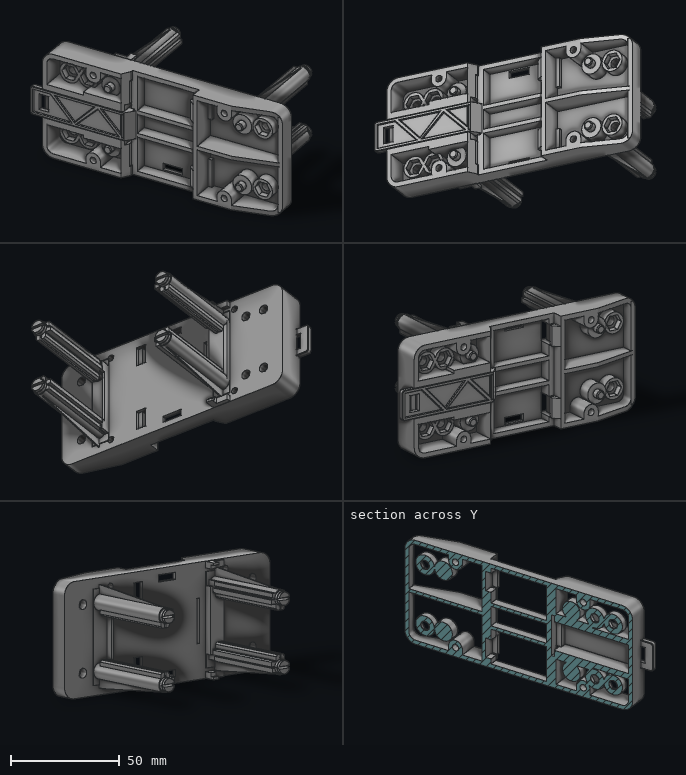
import cadquery as cq
import math

SIDES = (-1, 1)

BASE_LENGTH = 125.1
BASE_WIDTH = 55.0
BASE_DEPTH = 13.9
CORNER_RADIUS = 6.0
WALL = 2.4
PLATE = 2.0
FLOOR_Y = BASE_DEPTH - PLATE
POCKET_Z = BASE_WIDTH / 2 - WALL
POCKET_RADIUS = CORNER_RADIUS - WALL
RAMP_START_X = 101.0
RAMP_END_X = 123.5
RAMP_END_Y = 5.6
RAMP_SLOPE = RAMP_END_Y / (RAMP_END_X - RAMP_START_X)

NOTCH_DEPTH = 5.6
NOTCH_START_X = 42.0
NOTCH_WALL_X = 44.9
NOTCH_END_X = 80.5
HOOK_Y = 4.4
SEAT_X = 44.4
SEAT_Z = 22.5

LEVER_HALF_WIDTH = 7.4
CHANNEL_WALL_Z = 10.6
CHANNEL_THICK_Z = 12.1
CHANNEL_STEP_X = 21.9
LATCH_SLOT_X = 43.0

MIDDLE_START_X = 47.5
MIDDLE_END_X = 77.6
RIB_OUTER_Z = 7.0
RIB_INNER_Z = 5.0
WINDOW_X = (57.5, 67.8)
WINDOW_Z = (21.1, 24.4)

FIXED_HOOK_TIP_X = 77.5
FIXED_HOOK_NOSE_Y = 2.7
FIXED_HOOK_Z = (12.6, 22.5)

RIGHT_START_X = 82.8
CENTER_RIB_HALF = 1.0
LEDGE_WIDTH = 2.0
LEDGE_Y = 10.0
UNDERCUT_Y = 12.2

SCREW_X = (27.2, 97.2)
SCREW_Z = 22.5
SCREW_HOLE = 3.2
SCREW_BOSS_RADIUS = 3.9
POST_X = (33.7, 103.8)
POST_Z = 16.05
NUT_X = (10.8, 20.8, 113.9)
NUT_BOSS_RADIUS = 5.25
NUT_BOSS_Y = 6.5
NUT_SIDES = 6
NUT_FLATS = 7.1
NUT_DEPTH = 3.2
NUT_HOLE = 4.5
PIN_BOSS_RADIUS = 5.0
PIN_BOSS_Y = 5.3
PIN_RADIUS = 2.1
PIN_END_Y = 1.8
PIN_CHAMFER = 0.5

POST_RADIUS = 3.9
POST_TOP_Y = 60.2
POST_TIP_Y = 63.1
TIP_RING_Y = 61.7
TIP_RING_RADIUS = 3.4
TIP_RADIUS = 3.2
TIP_V_HALF = 0.6
TIP_V_DEPTH = 2.0
GUSSET_THICK = 0.6
GUSSET_FOOT_Y = 16.0
GUSSET_REACH_Z = 24.2
GUSSET_TOP_Y = 58.5
GUIDE_HALF_WIDTH = 2.6
GUIDE_REACH = 5.7
LONG_GUIDE_REACH = 5.6
LONG_GUIDE_SHORT_REACH = 4.8
GUIDE_CHAMFER = 0.9
GUIDE_SLOT_HALF = 0.4
GUIDE_SLOT_BOTTOM = 3.9
GUIDE_LOW_Y = 19.3

FOOT_WIDTH = 9.4
PAD_HEIGHT = 0.4
PAD_Z = 22.6
BAR_Y = 17.3
BAR_CHAMFER = 1.3
STRIP_WIDTH = 1.2
CLIP_Z = 24.3
CLIP_INSET = 0.15
CLIP_FOOT_Y = 16.0
CLIP_BODY_Y = 17.5
CLIP_LIP_Y = 19.4
CLIP_LIP_THICK = 1.2
CLIP_BODY_WIDTH = 3.3

LEVER_START_X = -6.4
LEVER_END_X = 43.6
LEVER_THICK = 2.6
LEVER_RADIUS = 1.3
LEVER_CHAMFER = 0.3
LEVER_HOOK_TIP_X = 47.4
LEVER_NECK_X = 45.9
FRAME = 1.3
RECESS_DEPTH = 0.5
RECESS_DRAFT = 35
RECESS_END_X = 41.9
FIRST_RECESS_X = (4.3, 16.0)
SECOND_RECESS_X = (6.3, 28.2, 17.2)
THIRD_RECESS_X = (17.8, 41.2, 29.6)
FOURTH_RECESS_X = 31.0
GROOVE_X = (42.4, 43.5)
LEVER_WINDOW_X = (-2.0, 3.1)
LEVER_WINDOW_HALF = 4.1


def box(x0, x1, y0, y1, z0, z1):
    """Box between two opposite corners."""
    size = (x1 - x0, y1 - y0, z1 - z0)
    return cq.Workplane("XY").box(*size, centered=False).translate((x0, y0, z0))


def mirrored_box(x0, x1, y0, y1, side, z_near, z_far):
    """Box on one half of the part, with Z measured away from the symmetry plane."""
    z0, z1 = sorted((side * z_near, side * z_far))
    return box(x0, x1, y0, y1, z0, z1)


def plane_at(y):
    """Workplane with local X and Y along the part's X and Z; negative extrusion runs to +Y."""
    return cq.Workplane("XZ", origin=(0, y, 0))


def cylinder(x, z, radius, y0, y1):
    """Cylinder along Y."""
    return plane_at(y0).center(x, z).circle(radius).extrude(y0 - y1)


def prism(points, y0, y1):
    """Prism along Y from an outline in X and Z."""
    return plane_at(y0).polyline(points).close().extrude(y0 - y1)


def side_prism(points, z0, z1):
    """Prism along Z from an outline in X and Y."""
    return cq.Workplane("XY", origin=(0, 0, z0)).polyline(points).close().extrude(z1 - z0)


def make_block():
    """Rounded base block with the ramped end and the rail notch."""
    outline = [
        (0, 0), (NOTCH_START_X, 0), (NOTCH_WALL_X, HOOK_Y), (NOTCH_WALL_X, NOTCH_DEPTH),
        (NOTCH_END_X, NOTCH_DEPTH), (NOTCH_END_X, 0), (RAMP_START_X, 0),
        (BASE_LENGTH, RAMP_END_Y + RAMP_SLOPE * (BASE_LENGTH - RAMP_END_X)),
        (BASE_LENGTH, BASE_DEPTH), (0, BASE_DEPTH),
    ]
    half = BASE_WIDTH / 2
    rounded = box(0, BASE_LENGTH, 0, BASE_DEPTH, -half, half).edges("|Y").fillet(CORNER_RADIUS)
    block = rounded.intersect(side_prism(outline, -half, half))
    wall_x = BASE_LENGTH - WALL
    for side in SIDES:
        block = block.cut(
            mirrored_box(wall_x, BASE_LENGTH, 0, RAMP_END_Y, side, CENTER_RIB_HALF, POCKET_Z)
        )
    level_wall = box(wall_x, BASE_LENGTH, RAMP_END_Y, BASE_DEPTH, -POCKET_Z, POCKET_Z)
    return block.union(level_wall.intersect(rounded))


def left_pocket(side):
    """Pocket beside the lever channel, narrower where the channel wall thickens."""
    pocket = mirrored_box(WALL, NOTCH_START_X, 0, FLOOR_Y, side, CHANNEL_WALL_Z, POCKET_Z)
    corner = "<X and >Z" if side > 0 else "<X and <Z"
    pocket = pocket.edges("|Y").edges(corner).fillet(POCKET_RADIUS)
    thick_wall = mirrored_box(
        CHANNEL_STEP_X, NOTCH_START_X, 0, FLOOR_Y, side, CHANNEL_WALL_Z, CHANNEL_THICK_Z
    )
    return pocket.cut(thick_wall)


def right_pocket(side):
    """Pocket of the ramped end, with a ledge along its inner wall."""
    end_x = BASE_LENGTH - WALL
    pocket = mirrored_box(RIGHT_START_X, end_x, 0, FLOOR_Y, side, CENTER_RIB_HALF, POCKET_Z)
    corner = ">X and >Z" if side > 0 else ">X and <Z"
    pocket = pocket.edges("|Y").edges(corner).fillet(POCKET_RADIUS)
    ledge = mirrored_box(
        RIGHT_START_X, RIGHT_START_X + LEDGE_WIDTH, LEDGE_Y, FLOOR_Y, side, CHANNEL_WALL_Z, POCKET_Z
    )
    return pocket.cut(ledge)


def cut_pockets(body):
    """Hollow the block from the mounting face, leaving walls, ribs and the lever channel."""
    for side in SIDES:
        body = body.cut(left_pocket(side)).cut(right_pocket(side))
        body = body.cut(
            mirrored_box(MIDDLE_START_X, MIDDLE_END_X, 0, FLOOR_Y, side, RIB_OUTER_Z, POCKET_Z)
        )
        body = body.cut(mirrored_box(*WINDOW_X, 0, BASE_DEPTH, side, *WINDOW_Z))
        body = body.cut(
            mirrored_box(MIDDLE_END_X, NOTCH_END_X, 0, BASE_DEPTH, side, *FIXED_HOOK_Z)
        )
        body = body.cut(
            mirrored_box(NOTCH_END_X, RIGHT_START_X, UNDERCUT_Y, BASE_DEPTH, side, *FIXED_HOOK_Z)
        )
    body = body.cut(box(MIDDLE_START_X, MIDDLE_END_X, 0, FLOOR_Y, -RIB_INNER_Z, RIB_INNER_Z))
    body = body.cut(box(WALL, SEAT_X, 0, FLOOR_Y, -LEVER_HALF_WIDTH, LEVER_HALF_WIDTH))
    body = body.cut(box(LEVER_START_X, SEAT_X, 0, LEVER_THICK, -LEVER_HALF_WIDTH, LEVER_HALF_WIDTH))
    body = body.cut(box(LATCH_SLOT_X, SEAT_X, 0, BASE_DEPTH, -CHANNEL_WALL_Z, CHANNEL_WALL_Z))
    return body.cut(box(SEAT_X, NOTCH_WALL_X, 0, NOTCH_DEPTH, -SEAT_Z, SEAT_Z))


def add_bosses(body):
    """Screw bosses, nut bosses and pin bosses inside the pockets."""
    for side in SIDES:
        for x in SCREW_X:
            z = side * SCREW_Z
            wall_link = mirrored_box(
                x - SCREW_BOSS_RADIUS, x + SCREW_BOSS_RADIUS, 0, FLOOR_Y, side, SCREW_Z, POCKET_Z
            )
            body = body.union(cylinder(x, z, SCREW_BOSS_RADIUS, 0, FLOOR_Y)).union(wall_link)
        for x in NUT_X:
            body = body.union(cylinder(x, side * POST_Z, NUT_BOSS_RADIUS, NUT_BOSS_Y, FLOOR_Y))
        for x in POST_X:
            z = side * POST_Z
            body = body.union(cylinder(x, z, PIN_BOSS_RADIUS, PIN_BOSS_Y, FLOOR_Y))
            pin = cylinder(x, z, PIN_RADIUS, PIN_END_Y, FLOOR_Y)
            body = body.union(pin.faces("<Y").chamfer(PIN_CHAMFER))
    return body


def cut_holes(body):
    """Screw holes, and nut holes with hexagonal seats."""
    across_corners = NUT_FLATS / math.cos(math.pi / NUT_SIDES)
    for side in SIDES:
        for x in SCREW_X:
            body = body.cut(cylinder(x, side * SCREW_Z, SCREW_HOLE / 2, 0, BASE_DEPTH))
        for x in NUT_X:
            z = side * POST_Z
            body = body.cut(cylinder(x, z, NUT_HOLE / 2, 0, BASE_DEPTH))
            seat = plane_at(NUT_BOSS_Y).center(x, z).polygon(NUT_SIDES, across_corners).extrude(-NUT_DEPTH)
            body = body.cut(seat)
    return body


def fixed_hook(side):
    """Rail hook with a sloped nose on the right wall of the notch."""
    outline = [
        (RIGHT_START_X, 0), (NOTCH_END_X, 0), (FIXED_HOOK_TIP_X, FIXED_HOOK_NOSE_Y),
        (FIXED_HOOK_TIP_X, HOOK_Y), (RIGHT_START_X, HOOK_Y),
    ]
    z0, z1 = sorted(side * z for z in FIXED_HOOK_Z)
    return side_prism(outline, z0, z1)


def long_guide(x, side, inward):
    """Slotted guide facing the other end of the part; its outer lip is shorter than its inner one."""
    profile = [
        (0, GUIDE_HALF_WIDTH), (LONG_GUIDE_SHORT_REACH, GUIDE_HALF_WIDTH),
        (LONG_GUIDE_SHORT_REACH, GUIDE_SLOT_HALF), (GUIDE_SLOT_BOTTOM, GUIDE_SLOT_HALF),
        (GUIDE_SLOT_BOTTOM, -GUIDE_SLOT_HALF), (LONG_GUIDE_REACH, -GUIDE_SLOT_HALF),
        (LONG_GUIDE_REACH, -GUIDE_HALF_WIDTH), (0, -GUIDE_HALF_WIDTH),
    ]
    outline = [(x + inward * reach, side * (POST_Z + offset)) for reach, offset in profile]
    x0, x1 = sorted((x, x + inward * GUIDE_SLOT_BOTTOM))
    z0, z1 = POST_Z - GUIDE_HALF_WIDTH, POST_Z + GUIDE_HALF_WIDTH
    core = mirrored_box(x0, x1, BASE_DEPTH, POST_TOP_Y, side, z0, z1)
    return prism(outline, GUIDE_LOW_Y, POST_TOP_Y).union(core)


def cross_guide(x, side):
    """Slotted guide facing the symmetry plane, with two equal chamfered lips."""
    shoulder = GUIDE_REACH - GUIDE_CHAMFER
    lip = GUIDE_HALF_WIDTH - GUIDE_CHAMFER
    right_half = [
        (GUIDE_HALF_WIDTH, 0), (GUIDE_HALF_WIDTH, shoulder), (lip, GUIDE_REACH),
        (GUIDE_SLOT_HALF, GUIDE_REACH), (GUIDE_SLOT_HALF, GUIDE_SLOT_BOTTOM),
    ]
    profile = right_half + [(-offset, reach) for offset, reach in reversed(right_half)]
    outline = [(x + offset, side * (POST_Z - reach)) for offset, reach in profile]
    return prism(outline, BAR_Y, POST_TOP_Y)


def gusset(x, side):
    """Thin tapered rib on the outer side of a post."""
    root_z = POST_Z + POST_RADIUS
    points = [
        (BASE_DEPTH, POST_Z), (BASE_DEPTH, GUSSET_REACH_Z), (GUSSET_FOOT_Y, GUSSET_REACH_Z),
        (GUSSET_TOP_Y, root_z), (GUSSET_TOP_Y, POST_Z),
    ]
    outline = [(y, side * z) for y, z in points]
    plane = cq.Workplane("YZ", origin=(x - GUSSET_THICK / 2, 0, 0))
    return plane.polyline(outline).close().extrude(GUSSET_THICK)


def split_tip(x, z):
    """Stepped post tip, split by a V groove along X."""
    tip = cylinder(x, z, TIP_RING_RADIUS, POST_TOP_Y, TIP_RING_Y)
    tip = tip.union(cylinder(x, z, TIP_RADIUS, TIP_RING_Y, POST_TIP_Y))
    groove = [
        (POST_TIP_Y, z - TIP_V_HALF), (POST_TIP_Y, z + TIP_V_HALF), (POST_TIP_Y - TIP_V_DEPTH, z),
    ]
    plane = cq.Workplane("YZ", origin=(x - POST_RADIUS, 0, 0))
    return tip.cut(plane.polyline(groove).close().extrude(2 * POST_RADIUS))


def post(x, side, inward):
    """Complete post: cylinder, guides, gusset and tip."""
    z = side * POST_Z
    shaft = cylinder(x, z, POST_RADIUS, BASE_DEPTH, POST_TOP_Y)
    shaft = shaft.union(long_guide(x, side, inward)).union(cross_guide(x, side))
    return shaft.union(gusset(x, side)).union(split_tip(x, z))


def left_foot():
    """Pad, chamfered crossbar and two edge clips under the left posts."""
    x0 = POST_X[0] - POST_RADIUS
    x1 = x0 + FOOT_WIDTH
    foot = box(x0, x1, BASE_DEPTH, BASE_DEPTH + PAD_HEIGHT, -PAD_Z, PAD_Z)
    bar = [
        (x0, BASE_DEPTH), (x1, BASE_DEPTH), (x1, BAR_Y),
        (x0 + BAR_CHAMFER, BAR_Y), (x0, BAR_Y - BAR_CHAMFER),
    ]
    foot = foot.union(side_prism(bar, -POST_Z, POST_Z))
    half = BASE_WIDTH / 2 - CLIP_INSET
    clip_x = x1 - CLIP_BODY_WIDTH
    for side in SIDES:
        foot = foot.union(mirrored_box(x0, x1, BASE_DEPTH, CLIP_FOOT_Y, side, CLIP_Z, half))
        foot = foot.union(mirrored_box(clip_x, x1, BASE_DEPTH, CLIP_BODY_Y, side, CLIP_Z, half))
        lip_z = half - CLIP_LIP_THICK
        foot = foot.union(mirrored_box(clip_x, x1, BASE_DEPTH, CLIP_LIP_Y, side, lip_z, half))
    return foot


def right_foot():
    """Pad, narrow crossbar and guide stops under the right posts."""
    x1 = POST_X[1] + POST_RADIUS
    x0 = x1 - FOOT_WIDTH
    pad = box(x0, x1, BASE_DEPTH, BASE_DEPTH + PAD_HEIGHT, -PAD_Z, PAD_Z)
    foot = pad.union(box(x0, x0 + STRIP_WIDTH, BASE_DEPTH, BAR_Y, -POST_Z, POST_Z))
    z0, z1 = POST_Z - GUIDE_HALF_WIDTH, POST_Z + GUIDE_HALF_WIDTH
    for side in SIDES:
        foot = foot.union(mirrored_box(x0, x0 + STRIP_WIDTH, BASE_DEPTH, GUIDE_LOW_Y, side, z0, z1))
    return foot


def lever_recesses():
    """Shallow trapezoid and triangles left between the lever's diagonal ribs."""
    top = LEVER_HALF_WIDTH - FRAME
    start = LEVER_START_X + FRAME
    tip = top - FRAME / 2
    left, right, middle = SECOND_RECESS_X
    second = [(left, top), (right, top), (middle, -tip)]
    left, right, middle = THIRD_RECESS_X
    third = [(left, -top), (right, -top), (middle, tip)]
    upper, lower = FIRST_RECESS_X
    first = [(start, top), (upper, top), (lower, -top), (start, -top)]
    drop = RECESS_END_X - FOURTH_RECESS_X
    fourth = [(FOURTH_RECESS_X, top), (RECESS_END_X, top), (RECESS_END_X, top - drop)]
    recesses = []
    for points in (first, second, third, fourth):
        outline = plane_at(0).polyline(points).close()
        recesses.append(outline.extrude(-RECESS_DEPTH, taper=RECESS_DRAFT))
    return recesses


def make_lever():
    """Sliding lever with pull window, ribbed face and rail hook."""
    half = LEVER_HALF_WIDTH
    lever = box(LEVER_START_X, LEVER_END_X, 0, LEVER_THICK, -half, half)
    lever = lever.edges("|Y and <X").fillet(LEVER_RADIUS)
    lever = lever.faces("<Y or >Y").edges("not(>X)").chamfer(LEVER_CHAMFER)
    for recess in lever_recesses():
        lever = lever.cut(recess)
    groove_half = half - FRAME
    hook = [
        (RECESS_END_X, LEVER_CHAMFER), (LEVER_END_X, 0), (LEVER_HOOK_TIP_X, HOOK_Y),
        (LEVER_NECK_X, HOOK_Y), (LEVER_NECK_X, NOTCH_DEPTH), (RECESS_END_X, NOTCH_DEPTH),
    ]
    lever = lever.union(side_prism(hook, -half, half))
    lever = lever.cut(box(*GROOVE_X, 0, RECESS_DEPTH, -groove_half, groove_half))
    window = box(*LEVER_WINDOW_X, 0, LEVER_THICK, -LEVER_WINDOW_HALF, LEVER_WINDOW_HALF)
    return lever.cut(window)


result = cut_holes(add_bosses(cut_pockets(make_block())))
for half_side in SIDES:
    result = result.union(fixed_hook(half_side))
    result = result.union(post(POST_X[0], half_side, 1))
    result = result.union(post(POST_X[1], half_side, -1))
result = result.union(left_foot()).union(right_foot()).union(make_lever())